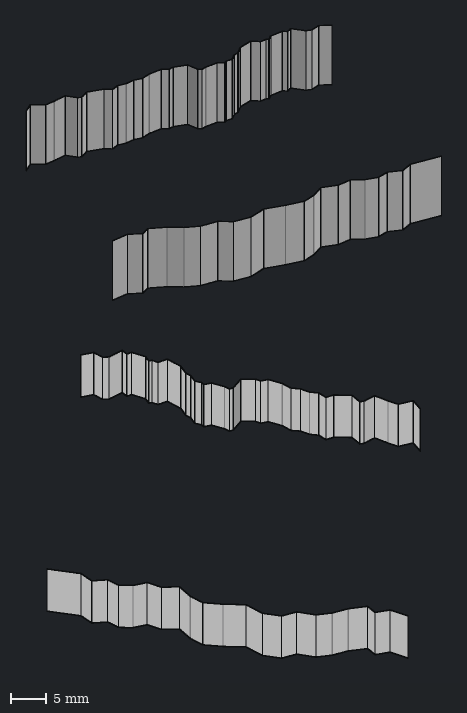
import cadquery as cq
import math

STRIP_HEIGHT = 10.0
STRIP_THICKNESS = 0.1
HALF_THICKNESS = STRIP_THICKNESS / 2

LEFT_FOLDS = [
    (-18.8, 27.65), (-19.6, 25.95), (-19.05, 24.55), (-19.3, 23.7), (-20.85, 22.05),
    (-20.35, 21.3), (-20.8, 20.7), (-20.45, 18.6), (-19.8, 17.95), (-20.0, 17.6),
    (-19.85, 16.65), (-20.7, 15.45), (-19.85, 13.3), (-18.8, 12.35), (-18.5, 11.6),
    (-17.7, 10.8), (-17.65, 9.8), (-17.35, 9.4), (-17.85, 8.4), (-17.65, 6.5),
    (-17.35, 5.7), (-17.7, 5.2), (-19.4, 4.5), (-19.85, 2.45), (-19.7, 1.65),
    (-20.2, 0.65), (-19.9, -1.45), (-19.35, -2.8), (-19.5, -4.15), (-19.25, -5.55),
    (-19.35, -6.9), (-18.8, -8.05), (-19.45, -9.05), (-19.95, -11.6), (-19.05, -12.9),
    (-19.3, -13.45), (-20.55, -14.75), (-20.05, -16.8), (-19.8, -18.35), (-20.85, -20.3),
    (-19.6, -21.6),
]
RIGHT_FOLDS = [
    (19.5, 24.3), (19.3, 19.35), (20.25, 17.6), (19.55, 15.4), (20.2, 13.7),
    (19.8, 11.7), (18.85, 9.8), (19.25, 7.65), (18.65, 5.15), (19.95, 3.25),
    (20.7, 1.35), (20.35, -1.55), (19.75, -4.75), (20.75, -7.4), (20.6, -10.15),
    (19.45, -12.1), (19.4, -14.85), (18.6, -17.1), (17.35, -19.1), (16.35, -21.75),
    (17.2, -23.0), (16.3, -25.0), (16.8, -27.7),
]


def segment_normal(start, end):
    """Unit vector square to the segment from start to end."""
    dx = end[0] - start[0]
    dy = end[1] - start[1]
    length = math.hypot(dx, dy)
    return (-dy / length, dx / length)


def offset_side(folds, distance):
    """Points of a parallel side at the given distance, mitred at every fold."""
    normals = [segment_normal(start, end) for start, end in zip(folds, folds[1:])]
    before = normals[:1] + normals
    after = normals + normals[-1:]
    side = []
    for (x, y), (ax, ay), (bx, by) in zip(folds, before, after):
        mitre = distance / (1 + ax * bx + ay * by)
        side.append((x + (ax + bx) * mitre, y + (ay + by) * mitre))
    return side


def make_strip(folds):
    """Folded strip of even thickness with square-cut ends, standing on Z = 0."""
    one_side = offset_side(folds, HALF_THICKNESS)
    other_side = offset_side(folds, -HALF_THICKNESS)
    outline = one_side + other_side[::-1]
    return cq.Workplane("XY").polyline(outline).close().extrude(STRIP_HEIGHT)


left_strip = make_strip(LEFT_FOLDS)
right_strip = make_strip(RIGHT_FOLDS)

result = cq.Compound.makeCompound([left_strip.val(), right_strip.val()])